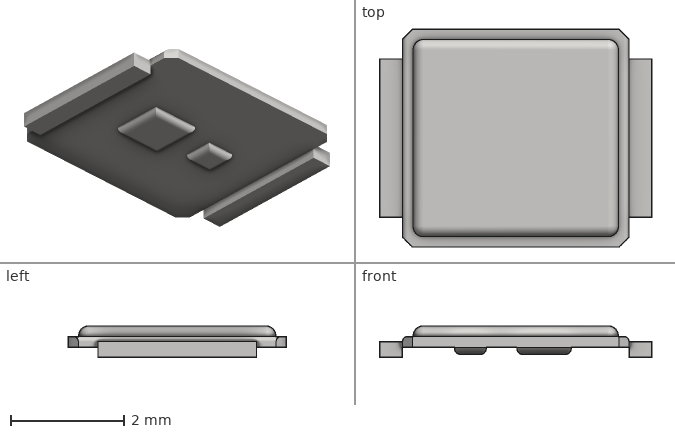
import cadquery as cq

total_length = 4.8
total_width = 3.85
total_height = 0.56

lead_length = 0.4
lead_width = 2.8
lead_height = 0.28

plate_length = total_length - 2 * lead_length
plate_bottom = 0.18
plate_top = 0.37
plate_edge_radius = plate_top - lead_height
plate_corner_chamfer = 0.18

cap_length = 3.62
cap_width = 3.48
cap_edge_radius = 0.18

pad_bottom = 0.05
pad_edge_radius = 0.11
gate_pad_size = 0.56
gate_pad_x = -0.8
source_pad_size = 0.96
source_pad_x = 0.5


def block(length, width, bottom, top, center_x=0.0):
    """Rectangular block centred on Y = 0 between two heights."""
    base = cq.Workplane("XY", origin=(center_x, 0, bottom))
    return base.rect(length, width).extrude(top - bottom)


def make_plate():
    """Flange plate with rounded top X edges and cut-off corners."""
    plate = block(plate_length, total_width, plate_bottom, plate_top)
    rounded = plate.faces(">Z").edges("|Y").fillet(plate_edge_radius)
    corner_outline = block(plate_length, total_width, plate_bottom, plate_top)
    corner_outline = corner_outline.edges("|Z").chamfer(plate_corner_chamfer)
    return rounded.intersect(corner_outline)


def make_cap():
    """Cap rounded on its upright and top edges; its lower part sits inside the plate."""
    cap = block(cap_length, cap_width, plate_bottom, total_height)
    return cap.edges("|Z or >Z").fillet(cap_edge_radius)


def make_pad(size, center_x):
    """Square contact pad with a rounded lower rim; its upper part sits inside the plate."""
    pad = block(size, size, pad_bottom, plate_top, center_x)
    return pad.faces("<Z").edges().fillet(pad_edge_radius)


def make_lead(side):
    """Drain lead against the plate end; side is -1 or +1 along X."""
    center_x = side * (total_length - lead_length) / 2
    return block(lead_length, lead_width, 0, lead_height, center_x)


result = make_plate().union(make_cap())
for side in (-1, 1):
    result = result.union(make_lead(side))
result = result.union(make_pad(gate_pad_size, gate_pad_x))
result = result.union(make_pad(source_pad_size, source_pad_x))